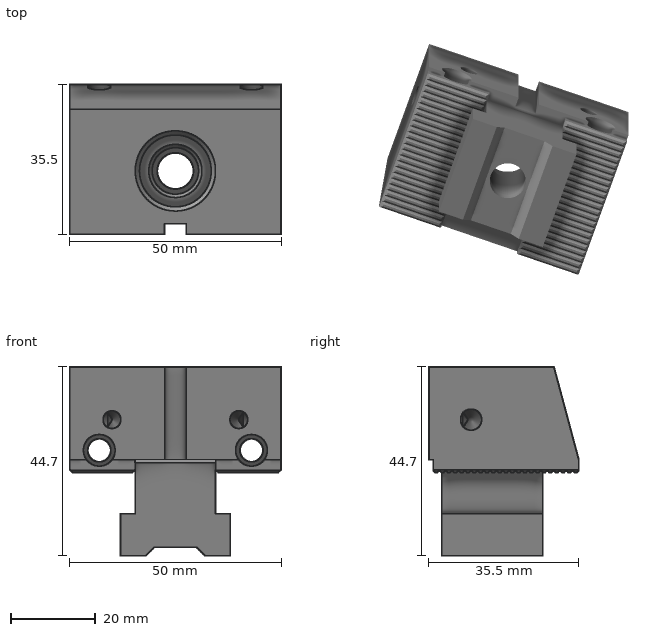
import cadquery as cq
import math


jaw_width = 50.0
jaw_depth = 35.5
jaw_height = 25.0
foot_height = 3.0
foot_setback = 1.0
back_slope_angle = 15.0

front_groove_width = 5.1
front_groove_depth = 2.5

tooth_pitch = 1.5
tooth_groove_width = 1.0
tooth_groove_depth = tooth_groove_width / 2
foot_bevel = 0.7

screw_y = 15.0
screw_clearance_diameter = 11.0
screw_clearance_mouth = 12.6
screw_head_diameter = 17.0
screw_head_mouth = 19.0
screw_head_depth = 12.0

fixing_x = 18.0
fixing_drop = 19.75
fixing_diameter = 5.4
fixing_head_diameter = 7.5
fixing_head_depth = 25.0

drill_point_angle = 118.0
drill_drop = 12.5
front_drill_diameter = 4.2
front_drill_x = 15.0
front_drill_depth = 8.0
side_drill_diameter = 5.0
side_drill_y = 10.0
side_drill_depth = 9.0

stem_width = 19.0
nut_length = 24.0
nut_height = 22.1
flange_width = 26.0
flange_height = 10.0
nut_top_gap = 0.6
relief_height = 2.0
relief_top_width = 10.0
tapped_diameter = 8.5

nut_top_z = foot_height - nut_top_gap
nut_bottom_z = nut_top_z - nut_height


def cylinder(diameter, length, start, direction):
    return cq.Workplane(cq.Solid.makeCylinder(diameter / 2, length, cq.Vector(*start), cq.Vector(*direction)))


def mouth_bevel(mouth_diameter, bore_diameter, start, direction):
    """45 degree cone that opens a bore out to its mouth diameter."""
    depth = (mouth_diameter - bore_diameter) / 2
    return cq.Workplane(
        cq.Solid.makeCone(mouth_diameter / 2, bore_diameter / 2, depth, cq.Vector(*start), cq.Vector(*direction))
    )


def drilled_hole(diameter, depth, start, direction):
    """Blind hole: a cylinder of the given depth followed by the conical drill point."""
    point_length = diameter / 2 / math.tan(math.radians(drill_point_angle / 2))
    axis = cq.Vector(*direction)
    point_start = cq.Vector(*start) + axis * depth
    point = cq.Workplane(cq.Solid.makeCone(diameter / 2, 0, point_length, point_start, axis))
    return cylinder(diameter, depth, start, direction).union(point)


def jaw_blank():
    """Side profile with the sloping back and the set-back foot, extruded across the width."""
    slope_height = jaw_height - foot_height
    slope_run = slope_height * math.tan(math.radians(back_slope_angle))
    return (
        cq.Workplane("YZ")
        .moveTo(foot_setback, 0)
        .lineTo(jaw_depth, 0)
        .lineTo(jaw_depth, foot_height)
        .lineTo(jaw_depth - slope_run, jaw_height)
        .lineTo(0, jaw_height)
        .lineTo(0, foot_height)
        .lineTo(foot_setback, foot_height)
        .close()
        .extrude(jaw_width / 2, both=True)
    )


def front_groove():
    return cq.Workplane("XY").rect(front_groove_width, 2 * front_groove_depth).extrude(jaw_height)


def nut_slot():
    return cq.Workplane("XY").rect(stem_width, 2 * jaw_depth).extrude(foot_height)


def foot_side_bevel(x):
    """Diamond bar along Y that bevels the bottom edge at the given X."""
    return (
        cq.Workplane("XZ", origin=(x, 0, 0))
        .polyline([(-foot_bevel, 0), (0, foot_bevel), (foot_bevel, 0), (0, -foot_bevel)])
        .close()
        .extrude(-jaw_depth)
    )


def tooth_groove(y):
    """V groove across the full width at the given Y."""
    half_width = tooth_groove_width / 2
    return (
        cq.Workplane("YZ", origin=(0, y, 0))
        .polyline([(-half_width, 0), (0, tooth_groove_depth), (half_width, 0)])
        .close()
        .extrude(jaw_width / 2, both=True)
    )


def screw_bore():
    """Stepped bore for the clamping screw, bevelled at the top and at the head seat."""
    down = (0, 0, -1)
    top = (0, screw_y, jaw_height)
    seat = (0, screw_y, jaw_height - screw_head_depth)
    return (
        cylinder(screw_clearance_diameter, jaw_height, top, down)
        .union(cylinder(screw_head_diameter, screw_head_depth, top, down))
        .union(mouth_bevel(screw_head_mouth, screw_head_diameter, top, down))
        .union(mouth_bevel(screw_clearance_mouth, screw_clearance_diameter, seat, down))
    )


def fixing_hole(x):
    start = (x, 0, jaw_height - fixing_drop)
    back = (0, 1, 0)
    head = cylinder(fixing_head_diameter, fixing_head_depth, start, back)
    return cylinder(fixing_diameter, jaw_depth, start, back).union(head)


def make_jaw():
    drill_z = jaw_height - drill_drop
    jaw = jaw_blank().cut(front_groove()).cut(nut_slot()).cut(screw_bore())
    for side in (-1, 1):
        jaw = jaw.cut(fixing_hole(side * fixing_x))
        front_start = (side * front_drill_x, 0, drill_z)
        jaw = jaw.cut(drilled_hole(front_drill_diameter, front_drill_depth, front_start, (0, 1, 0)))
        side_start = (side * jaw_width / 2, side_drill_y, drill_z)
        jaw = jaw.cut(drilled_hole(side_drill_diameter, side_drill_depth, side_start, (-side, 0, 0)))
        for edge_x in (stem_width / 2, jaw_width / 2):
            jaw = jaw.cut(foot_side_bevel(side * edge_x))
    groove_count = math.floor((jaw_depth - foot_setback) / tooth_pitch) + 1
    for index in range(groove_count):
        jaw = jaw.cut(tooth_groove(foot_setback + index * tooth_pitch))
    return jaw


def make_nut():
    """Inverted T profile with a tapered relief underneath and the tapped screw hole."""
    shoulder_z = nut_bottom_z + flange_height
    relief_z = nut_bottom_z + relief_height
    relief_half_top = relief_top_width / 2
    nut = (
        cq.Workplane("XZ", origin=(0, screw_y, 0))
        .moveTo(0, nut_top_z)
        .lineTo(stem_width / 2, nut_top_z)
        .lineTo(stem_width / 2, shoulder_z)
        .lineTo(flange_width / 2, shoulder_z)
        .lineTo(flange_width / 2, nut_bottom_z)
        .lineTo(relief_half_top + relief_height, nut_bottom_z)
        .lineTo(relief_half_top, relief_z)
        .lineTo(0, relief_z)
        .mirrorY()
        .extrude(nut_length / 2, both=True)
    )
    return nut.cut(cylinder(tapped_diameter, nut_height, (0, screw_y, nut_bottom_z), (0, 0, 1)))


jaw = make_jaw()
t_nut = make_nut()
result = cq.Compound.makeCompound([*jaw.solids().vals(), *t_nut.solids().vals()])